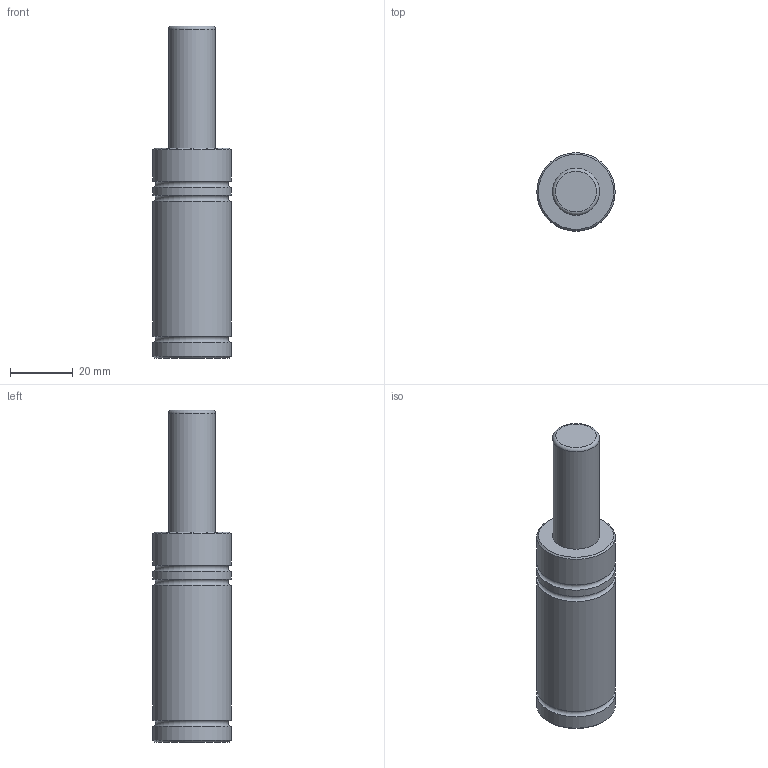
import cadquery as cq

body_diameter = 25.0
body_length = 67.0
body_edge_chamfer = 0.5

rod_diameter = 15.0
overall_length = 106.0
rod_end_fillet = 1.0

groove_radius = 1.0
groove_heights = (6.0, 51.0, 55.5)


def make_body():
    body = cq.Workplane("XY").circle(body_diameter / 2).extrude(body_length)
    return body.faces("<Z or >Z").edges().chamfer(body_edge_chamfer)


def make_rod():
    rod_length = overall_length - body_length
    rod = cq.Workplane("XY").workplane(offset=body_length).circle(rod_diameter / 2).extrude(rod_length)
    return rod.faces(">Z").edges().fillet(rod_end_fillet)


def make_groove_cutter(height):
    """Ring of round section centred on the body surface at the given height."""
    section = cq.Workplane("XZ").center(body_diameter / 2, height).circle(groove_radius)
    ring_axis_start = (-body_diameter / 2, 0)
    ring_axis_end = (-body_diameter / 2, 1)
    return section.revolve(360, ring_axis_start, ring_axis_end)


result = make_body().union(make_rod())
for groove_height in groove_heights:
    result = result.cut(make_groove_cutter(groove_height))